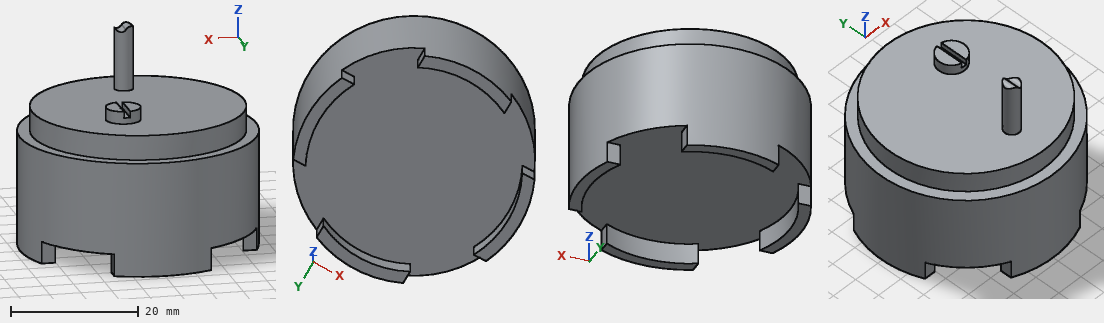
import cadquery as cq

body_diameter = 38
body_top = 18.5
step_diameter = 34.0
step_top = 22.5

bore_diameter = step_diameter
foot_width = 15.58
notch_height = 3.57

screw_diameter = 5.5
screw_height = 2.0
screw_x = 4.0
screw_y = 7.0
slot_width = 1.0
slot_depth = 1.03

pin_diameter = 3.0
pin_top = 32.9
pin_y = -10.0
wave_height = 0.4


def make_body():
    body = cq.Workplane("XY").circle(body_diameter / 2).extrude(body_top)
    step = cq.Workplane("XY").circle(step_diameter / 2).extrude(step_top)
    bore = cq.Workplane("XY").circle(bore_diameter / 2).extrude(notch_height)
    body = body.union(step).cut(bore)
    block_size = body_diameter / 2
    block_center = foot_width / 2 + block_size / 2
    for x_side in (-1, 1):
        for y_side in (-1, 1):
            block = (
                cq.Workplane("XY")
                .center(x_side * block_center, y_side * block_center)
                .rect(block_size, block_size)
                .extrude(notch_height)
            )
            body = body.cut(block)
    return body


def make_screw_head():
    head = cq.Workplane("XY").circle(screw_diameter / 2).extrude(screw_height)
    slot = (
        cq.Workplane("XY")
        .workplane(offset=screw_height - slot_depth)
        .rect(slot_width, 2 * screw_diameter)
        .extrude(slot_depth)
    )
    return head.cut(slot).translate((screw_x, screw_y, step_top))


def make_pin():
    radius = pin_diameter / 2
    wave_base = pin_top - wave_height
    profile = (
        cq.Workplane("XZ")
        .moveTo(-radius, step_top)
        .lineTo(-radius, wave_base)
        .threePointArc((-radius / 2, pin_top), (0, wave_base))
        .threePointArc((radius / 2, wave_base - wave_height), (radius, wave_base))
        .lineTo(radius, step_top)
        .close()
        .extrude(radius, both=True)
    )
    bar = cq.Workplane("XY").workplane(offset=step_top).circle(radius).extrude(pin_top - step_top)
    return bar.intersect(profile).translate((0, pin_y, 0))


result = make_body().union(make_screw_head()).union(make_pin())